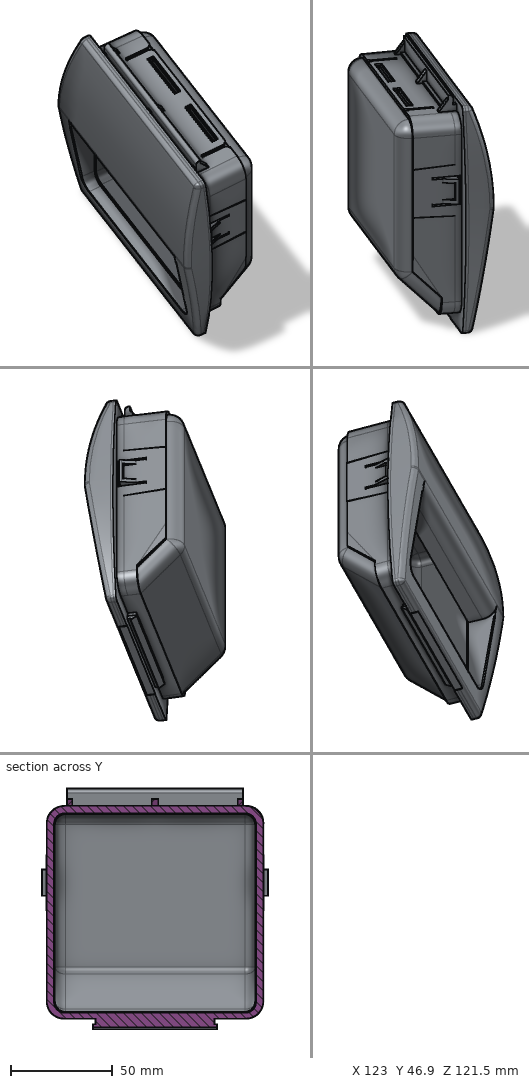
import cadquery as cq
import math


bezel_half_width = 61.5
bezel_end_half_width = 54.8
bezel_half_height = 59.5
bezel_depth = 14.9
rim_depth = 1.4
bezel_draft = 0.3
bezel_round = 2.8
crown_radius = 136.5
lip_radius = 7.4
lip_top_z = 7.9
lower_tilt = 8.2
pry_half_width = 30.5
pry_depth = 0.4

opening_half_width = 49.7
opening_bottom_z = -48.1
opening_corner = 6.1
opening_draft = 1.5
opening_bevel_width = 0.5

tub_half_width = 53.2
tub_top_z = 53.5
tub_bottom_z = -51.0
tub_corner = 8.6
shoulder_y = 24.6
skirt_y = 10.0
back_step = 1.7
back_round = 7.4
wall = 2.5
bend_z = -25.5
inner_floor_z = -47.6
mouth_chamfer = 0.7

skirt_slope_z = bend_z - (shoulder_y - skirt_y)
back_half_width = tub_half_width - back_step
back_top_z = tub_top_z - back_step
back_y = shoulder_y + back_round
inner_round = back_round - wall

rim_y = 3.5
relief_depth = 0.4
pad_bottom_z = 2.3
pad_top_z = 29.1
pad_taper = 0.9
gusset_z = -16.7
gusset_depth = 0.4

tongue_z = 15.7
tongue_half_height = 6.5
tongue_end_y = 1.7
tongue_slit = 1.0
tongue_end_slit = 1.4
tongue_slit_depth = 2.5
tongue_root_y = 14.9
snap_start_y = 9.6
snap_peak_y = 2.7
snap_height = 2.2
snap_rib = 2.1

slot_length = 25.5
slot_x = 17.7
slot_front_y = 18.8
slot_back_y = 22.1
slot_end_margin = 0.5
slot_inner_front_y = 20.0
slot_inner_back_y = 21.4
groove_depth = 1.0
groove_x = 35.7
groove_width = 1.5
groove_front_y = 9.8
groove_flare_width = 4.3
groove_flare_length = 1.8

latch_half_width = 43.3
latch_front_y = 1.7
latch_back_y = 4.3
latch_top_z = 62.0
latch_nose_round = 2.1
latch_gusset_y = 9.1
latch_gusset_top_z = 59.8
latch_spacer_top_z = 56.8
latch_foot_y = 6.4
latch_foot_height = 1.0
end_rib = 2.7
middle_rib = 3.2

hook_back_y = 4.3
hook_barb = 0.5
hook_web_inset = 1.2
hook_shoulder_z = -53.6
hook_tip_z = -56.2
hook_front_y = 1.6
hook_front_z = -55.2


def yz_prism(points, x_from, x_to):
    """Straight-sided YZ outline extruded along X."""
    return (cq.Workplane("YZ").workplane(offset=x_from)
            .polyline(points).close().extrude(x_to - x_from))


def block(x_from, x_to, y_from, y_to, z_from, z_to):
    return (cq.Workplane("XY")
            .box(x_to - x_from, y_to - y_from, z_to - z_from, centered=False)
            .translate((x_from, y_from, z_from)))


def both_sides(shape):
    return shape.union(shape.mirror("YZ"))


def crown_y(z):
    """Y of the curved upper half of the front face."""
    drop = crown_radius - math.sqrt(crown_radius ** 2 - (z - lip_top_z) ** 2)
    return drop - bezel_depth


lip_center_y = lip_radius - bezel_depth


def lip_point(degrees):
    """Point (y, z) on the lip rounding, turned down from straight ahead."""
    angle = math.radians(degrees)
    return (lip_center_y - lip_radius * math.cos(angle), lip_top_z - lip_radius * math.sin(angle))


lower_start = lip_point(lower_tilt)
tilt_slope = math.tan(math.radians(lower_tilt))
lower_end_y = lower_start[0] + (lower_start[1] + bezel_half_height) * tilt_slope


def bezel_blank():
    crown_mid_z = (bezel_half_height + lip_top_z) / 2
    side_profile = (cq.Workplane("YZ").workplane(offset=-bezel_half_width)
                    .moveTo(0, -bezel_half_height)
                    .lineTo(0, bezel_half_height)
                    .lineTo(crown_y(bezel_half_height), bezel_half_height)
                    .threePointArc((crown_y(crown_mid_z), crown_mid_z), (-bezel_depth, lip_top_z))
                    .threePointArc(lip_point(lower_tilt / 2), lower_start)
                    .lineTo(lower_end_y, -bezel_half_height)
                    .close().extrude(2 * bezel_half_width))
    rim = (cq.Workplane("XZ")
           .moveTo(-bezel_end_half_width, bezel_half_height)
           .lineTo(bezel_end_half_width, bezel_half_height)
           .threePointArc((bezel_half_width, 0), (bezel_end_half_width, -bezel_half_height))
           .lineTo(-bezel_end_half_width, -bezel_half_height)
           .threePointArc((-bezel_half_width, 0), (-bezel_end_half_width, bezel_half_height))
           .close().extrude(rim_depth)
           .edges("|Y").fillet(bezel_round))
    drafted = (rim.faces("<Y").wires().toPending()
               .extrude(bezel_depth - rim_depth, combine=False, taper=bezel_draft)
               .intersect(side_profile)
               .edges("not(|Y or >Y)").fillet(bezel_round))
    return rim.union(drafted)


def grip_opening():
    """Drafted opening through the lower half, rounded by the lip above."""
    height = lip_top_z - opening_bottom_z
    tall = (cq.Workplane("XZ", origin=(0, -bezel_depth, opening_bottom_z + height / 2))
            .sketch().rect(2 * opening_half_width, height)
            .vertices("<Y").fillet(opening_corner).finalize()
            .extrude(-bezel_depth, taper=opening_draft))
    lip = (cq.Workplane("YZ").workplane(offset=-bezel_half_width)
           .moveTo(*lip_point(0))
           .threePointArc(lip_point(45), lip_point(90))
           .lineTo(0, lip_top_z - lip_radius)
           .lineTo(0, lip_top_z)
           .close().extrude(2 * bezel_half_width))
    return tall.cut(lip)


def opening_bevel():
    """Small 45 degree bevel where the opening meets the tilted lower front face."""
    tilt = math.radians(lower_tilt)
    face = cq.Plane(origin=(0, *lower_start), xDir=(-1, 0, 0),
                    normal=(0, math.cos(tilt), math.sin(tilt)))
    length = (lower_start[1] - opening_bottom_z) / math.cos(tilt)
    return (cq.Workplane(face).center(0, -length / 2)
            .sketch().rect(2 * (opening_half_width + opening_bevel_width), length)
            .vertices("<Y").fillet(opening_corner + opening_bevel_width).finalize()
            .extrude(2 * opening_bevel_width, taper=45))


def lip_guard():
    """Zone of the lip rounding, which the bevel leaves untouched."""
    return block(-bezel_half_width, bezel_half_width, -bezel_depth, 0,
                 lip_top_z - lip_radius, lip_top_z)


def pry_relief():
    return block(-pry_half_width, pry_half_width, -bezel_depth, 0,
                 -bezel_half_height, -bezel_half_height + pry_depth)


bezel = (bezel_blank().cut(grip_opening())
         .cut(opening_bevel().cut(lip_guard())).cut(pry_relief()))


def slope_z(y, radius):
    """Height of the 45 degree slope that is tangent to the bend of the given radius."""
    return y - shoulder_y + bend_z - radius * math.sqrt(2)


def tub_back():
    """Rounded back, set in from the stepped wall and sloped at the bottom."""
    blank = yz_prism([(skirt_y, back_top_z), (back_y, back_top_z),
                      (back_y, slope_z(back_y, back_round)),
                      (skirt_y, slope_z(skirt_y, back_round))],
                     -back_half_width, back_half_width)
    return blank.edges("not <Y").fillet(back_round)


def side_relief():
    """Thin draft on the side walls that leaves a flush pad around each snap tongue."""
    wedge = (cq.Workplane("XY").workplane(offset=tub_bottom_z)
             .polyline([(tub_half_width, rim_y), (tub_half_width, shoulder_y),
                        (tub_half_width - relief_depth, shoulder_y)])
             .close().extrude(tub_top_z - tub_bottom_z))
    pad = yz_prism([(rim_y, pad_bottom_z), (rim_y, pad_top_z),
                    (shoulder_y, pad_top_z - pad_taper), (shoulder_y, pad_bottom_z + pad_taper)],
                   0, bezel_half_width)
    return both_sides(wedge.cut(pad))


def stepped_wall():
    """Drafted wall with a full-height skirt in front and a 45 degree cut behind it."""
    outer = (block(-tub_half_width, tub_half_width, 0, shoulder_y, tub_bottom_z, tub_top_z)
             .cut(side_relief())
             .faces("<Z or >Z").edges("not |X").fillet(tub_corner))
    below = yz_prism([(skirt_y, tub_bottom_z), (skirt_y, skirt_slope_z),
                      (shoulder_y, bend_z), (shoulder_y, tub_bottom_z)],
                     -tub_half_width, tub_half_width)
    return outer.cut(below)


def tetrahedron(a, b, c, d):
    faces = [cq.Face.makeFromWires(cq.Wire.makePolygon([cq.Vector(*p) for p in corners], close=True))
             for corners in ((a, b, c), (a, b, d), (a, c, d), (b, c, d))]
    return cq.Workplane(cq.Solid.makeSolid(cq.Shell.makeShell(faces)))


def relieved_half_width(y):
    return tub_half_width - relief_depth * (y - rim_y) / (shoulder_y - rim_y)


def gusset_facet():
    """Shallow triangular facet of the side wall just above the 45 degree cut."""
    wall_x = relieved_half_width(shoulder_y)
    return both_sides(tetrahedron((wall_x, shoulder_y, gusset_z),
                                  (tub_half_width, shoulder_y, bend_z),
                                  (wall_x - gusset_depth, shoulder_y, bend_z),
                                  (relieved_half_width(skirt_y), skirt_y, skirt_slope_z)))


def tub_cavity():
    """Finger space that follows the rounded back at one wall thickness."""
    half_width = back_half_width - wall
    inner_y = back_y - wall
    foot_y = inner_floor_z - slope_z(0, inner_round)
    prism = yz_prism([(0, back_top_z - wall), (inner_y, back_top_z - wall),
                      (inner_y, slope_z(inner_y, inner_round)),
                      (foot_y, inner_floor_z), (0, inner_floor_z)],
                     -half_width, half_width)
    return prism.edges("not <Y").fillet(inner_round)


def mouth_groove():
    """Flared mouth of the cavity, widest at the seam."""
    width = 2 * (back_half_width - wall + mouth_chamfer)
    top = back_top_z - wall + mouth_chamfer
    bottom = inner_floor_z - mouth_chamfer
    return (cq.Workplane("XZ", origin=(0, 0, (top + bottom) / 2))
            .sketch().rect(width, top - bottom)
            .vertices().fillet(inner_round + mouth_chamfer).finalize()
            .extrude(-mouth_chamfer, taper=45))


def tongue_slits():
    """U-shaped groove around each snap tongue."""
    top = tongue_z + tongue_half_height
    bottom = tongue_z - tongue_half_height
    floor_x = tub_half_width - tongue_slit_depth
    around = block(floor_x, tub_half_width, tongue_end_y - tongue_end_slit, tongue_root_y,
                   bottom - tongue_slit, top + tongue_slit)
    tongue = block(floor_x, tub_half_width, tongue_end_y, tongue_root_y, bottom, top)
    return both_sides(around.cut(tongue))


def side_snap():
    """Two ramped ribs joined by a bar at the free end of the tongue."""
    root_x = tub_half_width - wall
    ramp = (cq.Workplane("XY").workplane(offset=tongue_z - tongue_half_height)
            .polyline([(root_x, tongue_end_y), (tub_half_width + snap_height, tongue_end_y),
                       (tub_half_width + snap_height, snap_peak_y),
                       (tub_half_width, snap_start_y), (root_x, snap_start_y)])
            .close().extrude(2 * tongue_half_height))
    half_gap = tongue_half_height - snap_rib
    gap = block(tub_half_width, bezel_half_width, rim_y, snap_start_y,
                tongue_z - half_gap, tongue_z + half_gap)
    return both_sides(ramp.cut(gap))


def top_slots():
    """Long shallow pockets, each with a narrower slot through to the cavity."""
    half = slot_length / 2
    pocket = block(slot_x - half, slot_x + half, slot_front_y, slot_back_y,
                   tub_top_z - groove_depth, tub_top_z)
    inner_half = half - slot_end_margin
    through = block(slot_x - inner_half, slot_x + inner_half, slot_inner_front_y, slot_inner_back_y,
                    back_top_z - wall, tub_top_z)
    return both_sides(pocket.union(through))


def top_grooves():
    """Narrow grooves in the top wall that flare out at the shoulder."""
    half = groove_width / 2
    flare = groove_flare_width / 2
    flare_y = shoulder_y - groove_flare_length
    groove = (cq.Workplane("XY").workplane(offset=tub_top_z - groove_depth)
              .polyline([(groove_x - half, groove_front_y), (groove_x + half, groove_front_y),
                         (groove_x + half, flare_y), (groove_x + flare, shoulder_y),
                         (groove_x - flare, shoulder_y), (groove_x - half, flare_y)])
              .close().extrude(groove_depth))
    return both_sides(groove)


def bottom_hook():
    """Web below the tub that carries a barb slightly longer than itself."""
    web_half = pry_half_width - hook_web_inset
    web = block(-web_half, web_half, 0, hook_back_y, hook_shoulder_z, tub_bottom_z)
    barb_y = hook_back_y + hook_barb
    barb = yz_prism([(0, hook_shoulder_z), (barb_y, hook_shoulder_z),
                     (barb_y, hook_shoulder_z - hook_barb),
                     (hook_front_y, hook_tip_z), (hook_front_y, hook_front_z), (0, hook_front_z)],
                    -pry_half_width, pry_half_width)
    return web.union(barb)


tub = (stepped_wall().cut(gusset_facet())
       .union(tub_back())
       .cut(tub_cavity()).cut(mouth_groove()).cut(top_slots()).cut(top_grooves()).cut(tongue_slits())
       .union(side_snap()).union(bottom_hook()))


def latch_blade():
    """Upright blade with a rounded nose and a low foot behind it."""
    blade = block(-latch_half_width, latch_half_width, latch_front_y, latch_back_y,
                  tub_top_z, latch_top_z)
    nose = blade.edges("|X and <Y and >Z").fillet(latch_nose_round)
    foot = block(-latch_half_width, latch_half_width, latch_back_y, latch_foot_y,
                 tub_top_z, tub_top_z + latch_foot_height)
    return nose.union(foot)


def latch_rib(x_from, width):
    """Triangular brace behind the blade and a spacer block in front of it."""
    outline = [(0, tub_top_z), (latch_gusset_y, tub_top_z), (latch_back_y, latch_gusset_top_z),
               (latch_front_y, latch_gusset_top_z), (latch_front_y, latch_spacer_top_z),
               (0, latch_spacer_top_z)]
    return yz_prism(outline, x_from, x_from + width)


latch = latch_blade()
for rib_start, rib_width in ((-latch_half_width, end_rib),
                             (-middle_rib / 2, middle_rib),
                             (latch_half_width - end_rib, end_rib)):
    latch = latch.union(latch_rib(rib_start, rib_width))


result = cq.Compound.makeCompound([bezel.val(), tub.val(), latch.val()])